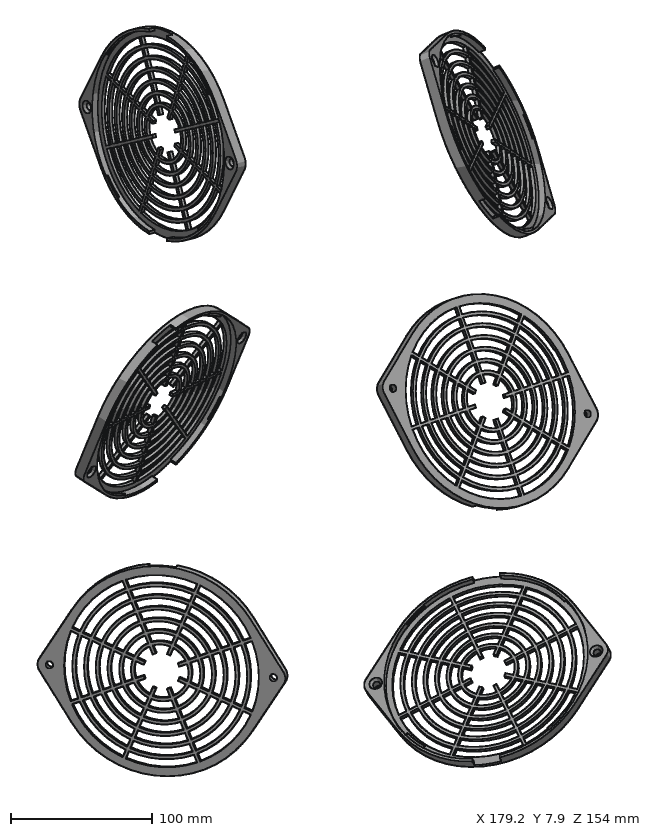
import cadquery as cq
import math

overall_length = 179.2
cover_diameter = 154.0
cover_radius = cover_diameter / 2
thickness = 7.9
plate_thickness = 2.9
ear_radius = 8.6

wall_inner_radius = 75.0
opening_radius = 70.5
wall_depth = thickness - plate_thickness

ring_count = 6
ring_width = 2.5
first_ring_inner_radius = 19.5
last_ring_inner_radius = 62.0
ring_pitch = (last_ring_inner_radius - first_ring_inner_radius) / (ring_count - 1)
spoke_count = 8
spoke_width = 2.5
spoke_inner_radius = 13.5

hole_x = overall_length / 2 - ear_radius
hole_diameter = 5.2
countersink_diameter = 9.3
countersink_angle = 90

gap_width = 19.9

lip_inner_radius = 73.1
lip_span = 18.3
lip_height = 0.5
lip_angles = (45, 135, 225, 315)

back_y = thickness / 2
front_y = -back_y
plate_front_y = back_y - plate_thickness


def sketch_at(y):
    """Workplane at depth y whose local axes are X and Z; extrusions go toward -Y."""
    return cq.Workplane("XZ", origin=(0, y, 0))


def tube(y, depth, outer_radius, inner_radius):
    return sketch_at(y).circle(outer_radius).circle(inner_radius).extrude(depth)


def make_body():
    """Full-thickness outline: the round cover joined to both ear tips by tangent lines."""
    tangent_angle = math.acos((cover_radius - ear_radius) / hole_x)
    cos_t = math.cos(tangent_angle)
    sin_t = math.sin(tangent_angle)
    cover_x = cover_radius * cos_t
    cover_z = cover_radius * sin_t
    ear_x = hole_x + ear_radius * cos_t
    ear_z = ear_radius * sin_t
    return (
        sketch_at(back_y)
        .moveTo(cover_x, cover_z)
        .threePointArc((0, cover_radius), (-cover_x, cover_z))
        .lineTo(-ear_x, ear_z)
        .threePointArc((-overall_length / 2, 0), (-ear_x, -ear_z))
        .lineTo(-cover_x, -cover_z)
        .threePointArc((0, -cover_radius), (cover_x, -cover_z))
        .lineTo(ear_x, -ear_z)
        .threePointArc((overall_length / 2, 0), (ear_x, ear_z))
        .close()
        .extrude(thickness)
    )


def cut_rim(body):
    """Recess inside the rim wall, the grille opening and the two wall gaps."""
    recess = sketch_at(plate_front_y).circle(wall_inner_radius).extrude(wall_depth)
    opening = sketch_at(back_y).circle(opening_radius).extrude(thickness)
    gaps = sketch_at(plate_front_y).rect(gap_width, cover_diameter).extrude(wall_depth)
    return body.cut(recess).cut(opening).cut(gaps)


def make_rings():
    rings = cq.Workplane("XZ")
    for index in range(ring_count):
        inner_radius = first_ring_inner_radius + index * ring_pitch
        rings = rings.add(tube(back_y, plate_thickness, inner_radius + ring_width, inner_radius))
    return rings


def make_spokes():
    """Radial bars reaching from the open centre to the middle of the rim ledge."""
    outer_radius = (opening_radius + wall_inner_radius) / 2
    length = outer_radius - spoke_inner_radius
    step = 360 / spoke_count
    bar = (
        sketch_at(back_y)
        .center(spoke_inner_radius + length / 2, 0)
        .rect(length, spoke_width)
        .extrude(plate_thickness)
    )
    spokes = cq.Workplane("XZ")
    for index in range(spoke_count):
        spokes = spokes.add(bar.rotate((0, 0, 0), (0, 1, 0), (index + 0.5) * step))
    return spokes


def make_lips():
    """Arc-shaped catches flush with the front face, with parallel ends."""
    outer_radius = (wall_inner_radius + cover_radius) / 2
    lip_y = front_y + lip_height
    ring = tube(lip_y, lip_height, outer_radius, lip_inner_radius)
    sector = (
        sketch_at(lip_y)
        .center(cover_radius / 2, 0)
        .rect(cover_radius, lip_span)
        .extrude(lip_height)
    )
    lip = ring.intersect(sector)
    lips = cq.Workplane("XZ")
    for angle in lip_angles:
        lips = lips.add(lip.rotate((0, 0, 0), (0, 1, 0), angle))
    return lips


def cut_mounting_holes(body):
    return (
        body.faces("<Y")
        .workplane(origin=(0, front_y, 0))
        .pushPoints([(-hole_x, 0), (hole_x, 0)])
        .cskHole(hole_diameter, countersink_diameter, countersink_angle)
    )


result = cut_rim(make_body())
for part in (make_rings(), make_spokes(), make_lips()):
    for solid in part.vals():
        result = result.union(cq.Workplane(solid))
result = cut_mounting_holes(result)